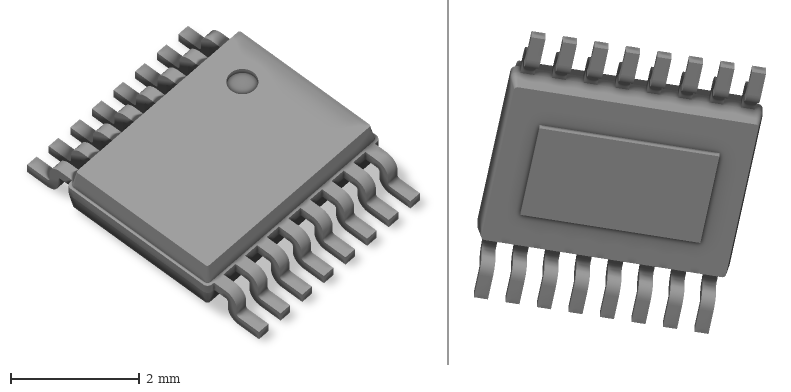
import cadquery as cq

overall_length = 4.9
body_length = 3.0
body_width = 4.0
body_height = 0.95
standoff = 0.1

lead_thickness = 0.18
lead_width = 0.22
lead_pitch = 0.5
leads_per_side = 8
bend_inner_radius = 0.05
foot_length = 0.475
lead_embed = 0.1

band_bottom = 0.43
band_top = band_bottom + lead_thickness
body_corner_radius = 0.1
upper_step = 0.05
draft_slope = 0.18
upper_base_radius = 0.065
upper_end_radius = 0.04
lower_end_radius = 0.055

pad_length = 1.63
pad_width = 2.85
pad_embed = 0.05
mark_diameter = 0.5
mark_depth = 0.1
mark_x = -0.675
mark_y = 1.175


def body_outline(inset, corner_radius):
    """Rounded body rectangle moved inward by inset."""
    length = body_length - 2 * inset
    width = body_width - 2 * inset
    return cq.Sketch().rect(length, width).vertices().fillet(corner_radius)


def make_band():
    outline = body_outline(0, body_corner_radius)
    return cq.Workplane("XY", origin=(0, 0, band_bottom)).placeSketch(outline).extrude(lead_thickness)


def drafted_half(base_z, end_z, base_inset, base_radius, end_radius):
    """Half of the body that narrows by the draft from base_z to end_z."""
    rise = end_z - base_z
    base = body_outline(base_inset, base_radius)
    end = body_outline(base_inset + abs(rise) * draft_slope, end_radius)
    sections = cq.Workplane("XY", origin=(0, 0, base_z)).placeSketch(base, end.moved(cq.Location((0, 0, rise))))
    return sections.loft(ruled=True)


def make_body():
    upper = drafted_half(band_top, body_height, upper_step, upper_base_radius, upper_end_radius)
    lower = drafted_half(band_bottom, standoff, 0, body_corner_radius, lower_end_radius)
    return make_band().union(upper).union(lower)


def make_lead(y_center):
    """Gull-wing lead on the -X side, drawn as a side profile and extruded across its width."""
    toe = -overall_length / 2
    riser_outer = toe + foot_length
    riser_inner = riser_outer + lead_thickness
    root = -body_length / 2 + lead_embed
    inner = bend_inner_radius
    outer = inner + lead_thickness
    profile = (
        cq.Workplane("XZ", origin=(0, y_center + lead_width / 2, 0))
        .moveTo(toe, 0)
        .lineTo(riser_inner - outer, 0)
        .radiusArc((riser_inner, outer), -outer)
        .lineTo(riser_inner, band_bottom - inner)
        .radiusArc((riser_inner + inner, band_bottom), inner)
        .lineTo(root, band_bottom)
        .lineTo(root, band_top)
        .lineTo(riser_outer + outer, band_top)
        .radiusArc((riser_outer, band_top - outer), -outer)
        .lineTo(riser_outer, lead_thickness + inner)
        .radiusArc((riser_outer - inner, lead_thickness), inner)
        .lineTo(toe, lead_thickness)
        .close()
    )
    return profile.extrude(lead_width)


def make_pad():
    return cq.Workplane("XY").rect(pad_length, pad_width).extrude(standoff + pad_embed)


def make_pin_one_mark():
    floor = body_height - mark_depth
    return cq.Workplane("XY", origin=(mark_x, mark_y, floor)).circle(mark_diameter / 2).extrude(mark_depth)


result = make_body().union(make_pad())
for index in range(leads_per_side):
    y_center = (index - (leads_per_side - 1) / 2) * lead_pitch
    left_lead = make_lead(y_center)
    result = result.union(left_lead).union(left_lead.mirror("YZ"))
result = result.cut(make_pin_one_mark())